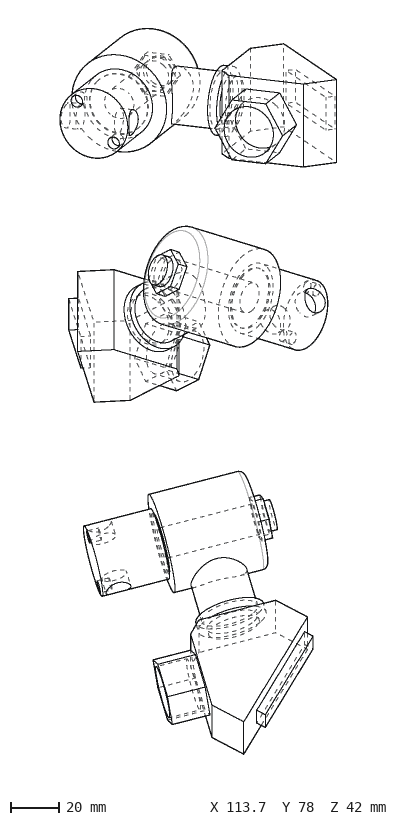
import cadquery as cq
import math


coil_diameter = 42.0
coil_back = 21.6
coil_front = -18.9
coil_fillet = 2.4
conduit_diameter = 24.1
flange_diameter = 29.2
flange_start = 37.5
flange_end = 41.5
collar_diameter = 21.8

rod_diameter = 13.0
rod_back = 29.1
nut_corners = 20.0
nut_top_edge = 9.4
nut_flats = 16.7
nut_thickness = 4.5
neck_diameter = 25.8
neck_length = 0.7
plunger_diameter = 30.1
plunger_front = -48.2
port_diameter = 10.7
port_from_front = 6.7
port_wall = 17.0
pin_hole_diameter = 5.1
pin_hole_near = 7.5
pin_hole_far = 8.8
pin_hole_depth = 5.0

box_left = 44.0
box_height = 36.0
box_leg = 38.0
axis_offset = 20.0
corner_chamfer = 5.0
box_end = 10.7
fitting_corners = 30.0
fitting_length = 16.1
bore_diameter = collar_diameter
bore_depth = 13.2
lid_length = 40.2
lid_width = 14.2
lid_thickness = 4.1
lid_shift = 4.2


def cylinder_along_y(diameter, y_start, y_end, x=0.0, z=0.0):
    axis_start = cq.Vector(x, y_start, z)
    return cq.Workplane(cq.Solid.makeCylinder(diameter / 2, y_end - y_start, axis_start, cq.Vector(0, 1, 0)))


def cylinder_along_x(diameter, x_start, x_end, y=0.0):
    axis_start = cq.Vector(x_start, y, 0)
    return cq.Workplane(cq.Solid.makeCylinder(diameter / 2, x_end - x_start, axis_start, cq.Vector(1, 0, 0)))


def hexagon_along_y(corners, top_edge, flats, y_start, y_end, x=0.0):
    """Hexagonal prism with two corners in the XY plane and flats at top and bottom."""
    points = [
        (x + corners / 2, 0),
        (x + top_edge / 2, flats / 2),
        (x - top_edge / 2, flats / 2),
        (x - corners / 2, 0),
        (x - top_edge / 2, -flats / 2),
        (x + top_edge / 2, -flats / 2),
    ]
    plane = cq.Workplane("XZ", origin=(0, y_end, 0))
    return plane.polyline(points).close().extrude(y_end - y_start)


def make_coil():
    barrel = cylinder_along_y(coil_diameter, coil_front, coil_back)
    barrel = barrel.faces(">Y").edges().fillet(coil_fillet)
    conduit = cylinder_along_x(conduit_diameter, 0, flange_start)
    flange = cylinder_along_x(flange_diameter, flange_start, flange_end)
    collar = cylinder_along_x(collar_diameter, flange_end, box_left)
    rod_hole = cylinder_along_y(rod_diameter, coil_front, coil_back)
    return barrel.union(conduit).union(flange).union(collar).cut(rod_hole)


def make_stem():
    neck_front = coil_front - neck_length
    rod = cylinder_along_y(rod_diameter, coil_front, rod_back)
    nut = hexagon_along_y(nut_corners, nut_top_edge, nut_flats, coil_back, coil_back + nut_thickness)
    neck = cylinder_along_y(neck_diameter, neck_front, coil_front)
    plunger = cylinder_along_y(plunger_diameter, plunger_front, neck_front)
    stem = plunger.union(neck).union(rod).union(nut)

    port_y = plunger_front + port_from_front
    stem = stem.cut(cylinder_along_x(port_diameter, -plunger_diameter / 2, -port_wall / 2, port_y))
    stem = stem.cut(cylinder_along_x(port_diameter, port_wall / 2, plunger_diameter / 2, port_y))

    pin_hole_end = plunger_front + pin_hole_depth
    for x, z in [(-pin_hole_near, pin_hole_far), (pin_hole_far, -pin_hole_near)]:
        stem = stem.cut(cylinder_along_y(pin_hole_diameter, plunger_front, pin_hole_end, x, z))
    return stem


def make_junction_box():
    box_front = -axis_offset
    box_right = box_left + box_leg
    box_back = box_front + box_leg
    outline = [
        (box_left + corner_chamfer, box_front),
        (box_right, box_front),
        (box_right + box_end, box_front + box_end),
        (box_left + box_end, box_back + box_end),
        (box_left, box_back),
        (box_left, box_front + corner_chamfer),
    ]
    block = cq.Workplane("XY").polyline(outline).close().extrude(box_height / 2, both=True)

    fitting_x = box_left + axis_offset
    fitting_front = box_front - fitting_length
    fitting_flats = fitting_corners * math.cos(math.radians(30))
    fitting = hexagon_along_y(
        fitting_corners, fitting_corners / 2, fitting_flats, fitting_front, box_front, fitting_x
    )
    bore = cylinder_along_y(bore_diameter, fitting_front, fitting_front + bore_depth, fitting_x)

    slope_middle = (box_left + box_end + box_leg / 2, box_front + box_end + box_leg / 2, 0)
    slope = cq.Plane(origin=slope_middle, xDir=(1, -1, 0), normal=(1, 1, 0))
    lid = cq.Workplane(slope).center(-lid_shift, 0).rect(lid_length, lid_width).extrude(lid_thickness)
    return block.union(fitting).union(lid).cut(bore)


coil = make_coil()
stem = make_stem()
junction_box = make_junction_box()

result = cq.Compound.makeCompound([coil.val(), stem.val(), junction_box.val()])